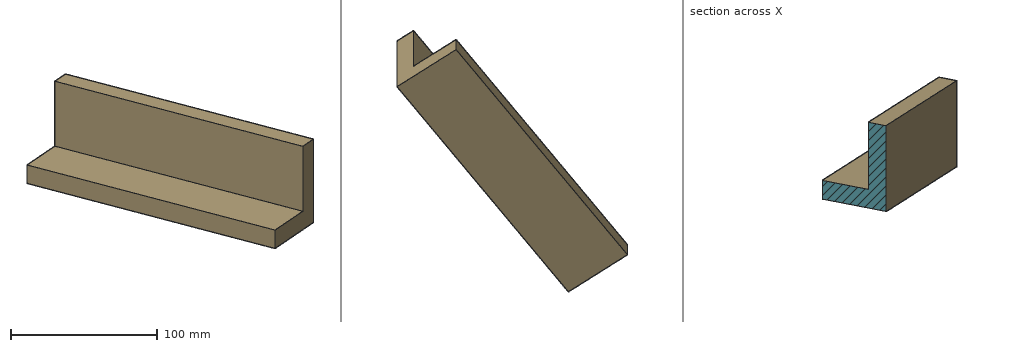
import cadquery as cq

length = 200.0
base_depth = 50.0
wall_height = 63.0

thickness = 14.0

base = cq.Workplane("XY").box(length, base_depth, thickness, centered=False)

wall = (
    cq.Workplane("XY")
    .box(length, thickness, wall_height, centered=False)
    .translate((0, base_depth - thickness, 0))
)

result = base.union(wall)